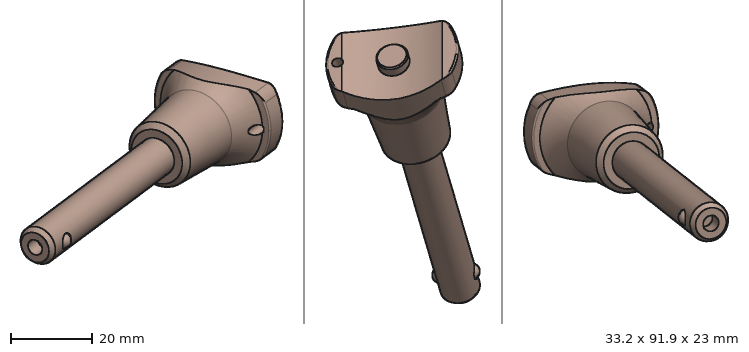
import cadquery as cq
import math

total_length = 91.9
handle_length = 33.1
shaft_length = total_length - handle_length

handle_core_y = handle_length / 2

shaft_radius = 10.0 / 2
tip_chamfer_length = 1.4
tip_chamfer_width = 1.0
tip_bore_diameter = 4.0
tip_bore_depth = 4.6

ball_radius = 3.95 / 2
pocket_radius = 4.0 / 2
ball_reach = 6.0
ball_from_tip = 6.9
ball_x = ball_reach - ball_radius
ball_y = ball_from_tip - shaft_length

wing_radius = 33.2 / 2
wing_thickness = 6.4
rim_fillet = 0.5
flare_top_radius = 14.6
flare_top_y = handle_length - 6.7
flare_arc_radius = 16.8
neck_radius = 10.1
neck_y = 18.9
grip_radius = 8.7
grip_chamfer = 1.5

half_height = 11.5
side_arc_radius = 39.1
corner_radius = 4.5

hollow_half_width = 12.6
hollow_depth = 2.9

button_diameter = 8.0
button_chamfer = 0.4
lanyard_hole_diameter = 2.8
lanyard_hole_x = 13.6


def cylinder_y(diameter, y_start, y_end, x=0.0):
    """Cylinder parallel to Y between two Y positions."""
    plane = cq.Workplane("XZ", origin=(x, y_start, 0))
    return plane.circle(diameter / 2).extrude(y_start - y_end)


def revolve_about_y(profile):
    return profile.close().revolve(360, (0, 0, 0), (0, 1, 0))


def make_shaft():
    tip_y = -shaft_length
    profile = (
        cq.Workplane("XY")
        .moveTo(0, tip_y)
        .lineTo(shaft_radius - tip_chamfer_width, tip_y)
        .lineTo(shaft_radius, tip_y + tip_chamfer_length)
        .lineTo(shaft_radius, handle_core_y)
        .lineTo(0, handle_core_y)
    )
    bore = cylinder_y(tip_bore_diameter, tip_y, tip_y + tip_bore_depth)
    return revolve_about_y(profile).cut(bore)


def make_turned_handle():
    """Chamfered conical grip flaring out into a round disc with a rounded rim."""
    profile = (
        cq.Workplane("XY")
        .lineTo(grip_radius - grip_chamfer, 0)
        .lineTo(grip_radius, grip_chamfer)
        .lineTo(neck_radius, neck_y)
        .radiusArc((flare_top_radius, flare_top_y), flare_arc_radius)
        .lineTo(wing_radius, handle_length - wing_thickness)
        .lineTo(wing_radius, handle_length)
        .lineTo(0, handle_length)
    )
    return revolve_about_y(profile).faces("%CYLINDER").edges("%CIRCLE").fillet(rim_fillet)


def make_wing_outline():
    """Prism along Y: bowed top and bottom, ends concentric with the axis, rounded corners."""
    side_center_z = half_height - side_arc_radius
    end_distance = wing_radius - corner_radius
    side_distance = side_arc_radius - corner_radius
    corner_z = (end_distance**2 - side_distance**2 + side_center_z**2) / (2 * side_center_z)
    corner_x = math.sqrt(end_distance**2 - corner_z**2)
    end_angle = math.atan2(corner_z, corner_x)
    side_angle = math.atan2(corner_z - side_center_z, corner_x)

    def corner_point(angle):
        x = corner_x + corner_radius * math.cos(angle)
        z = corner_z + corner_radius * math.sin(angle)
        return x, z

    end_x, end_z = corner_point(end_angle)
    mid_x, mid_z = corner_point((end_angle + side_angle) / 2)
    side_x, side_z = corner_point(side_angle)
    return (
        cq.Workplane("XZ")
        .moveTo(end_x, -end_z)
        .threePointArc((wing_radius, 0), (end_x, end_z))
        .threePointArc((mid_x, mid_z), (side_x, side_z))
        .threePointArc((0, half_height), (-side_x, side_z))
        .threePointArc((-mid_x, mid_z), (-end_x, end_z))
        .threePointArc((-wing_radius, 0), (-end_x, -end_z))
        .threePointArc((-mid_x, -mid_z), (-side_x, -side_z))
        .threePointArc((0, -half_height), (side_x, -side_z))
        .threePointArc((mid_x, -mid_z), (end_x, -end_z))
        .close()
        .extrude(-handle_length)
    )


def make_finger_hollow():
    """Shallow cylindrical scoop running along Z."""
    return (
        cq.Workplane("XY")
        .moveTo(-hollow_half_width, handle_length)
        .threePointArc((0, handle_length - hollow_depth), (hollow_half_width, handle_length))
        .close()
        .extrude(half_height, both=True)
    )


def make_handle():
    lanyard_hole = cylinder_y(lanyard_hole_diameter, 0, handle_length, lanyard_hole_x)
    handle = make_turned_handle().intersect(make_wing_outline())
    return handle.cut(make_finger_hollow()).cut(lanyard_hole)


def make_button():
    button = cylinder_y(button_diameter, handle_core_y, handle_length)
    return button.faces(">Y").chamfer(button_chamfer)


def add_locking_ball(body, side):
    """Pocket reaching the ball's centre, with half of the ball held in the shaft."""
    center = (side * ball_x, ball_y, 0)
    pocket = cq.Workplane("YZ", origin=center).circle(pocket_radius).extrude(side * shaft_radius)
    ball = cq.Workplane("XY", origin=center).sphere(ball_radius)
    return body.cut(pocket).union(ball)


result = make_handle().union(make_shaft()).union(make_button())
for ball_side in (-1, 1):
    result = add_locking_ball(result, ball_side)